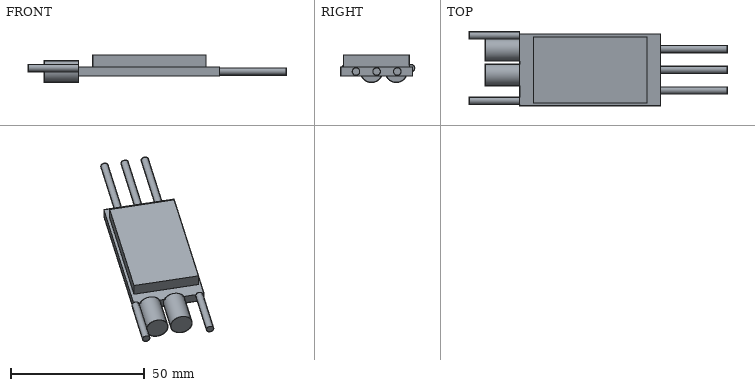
import cadquery as cq

board_length = 52.7
board_width = 26.9
board_thickness = 3.5
board_mid_z = board_thickness / 2

cover_length = 42.5
cover_width = 24.8
cover_height = 4.45
cover_offset_x = 5.2
cover_offset_y = 1.0

wire_diameter = 2.8
power_wire_length = 19.0
power_wire_z = 3.0
power_wire_ys = (1.8, 26.3)
motor_wire_length = 96.7 - power_wire_length - board_length
motor_wire_spacing = 7.7
capacitor_diameter = 8.2
capacitor_length = 13.0
capacitor_ys = (11.5, 20.8)


def block(length, width, height, corner):
    """Box whose lowest corner is at the given point."""
    return cq.Workplane("XY").box(length, width, height, centered=False).translate(corner)


def rod(diameter, length, start):
    """Cylinder running toward +X from the given centre point."""
    return cq.Workplane("YZ").circle(diameter / 2).extrude(length).translate(start)


result = block(board_length, board_width, board_thickness, (0, 0, 0))
cover_corner = (cover_offset_x, cover_offset_y, board_thickness)
result = result.union(block(cover_length, cover_width, cover_height, cover_corner))

for y in power_wire_ys:
    result = result.union(rod(wire_diameter, power_wire_length, (-power_wire_length, y, power_wire_z)))
for y in capacitor_ys:
    result = result.union(rod(capacitor_diameter, capacitor_length, (-capacitor_length, y, board_mid_z)))

for step in (-1, 0, 1):
    y = board_width / 2 + step * motor_wire_spacing
    result = result.union(rod(wire_diameter, motor_wire_length, (board_length, y, board_mid_z)))